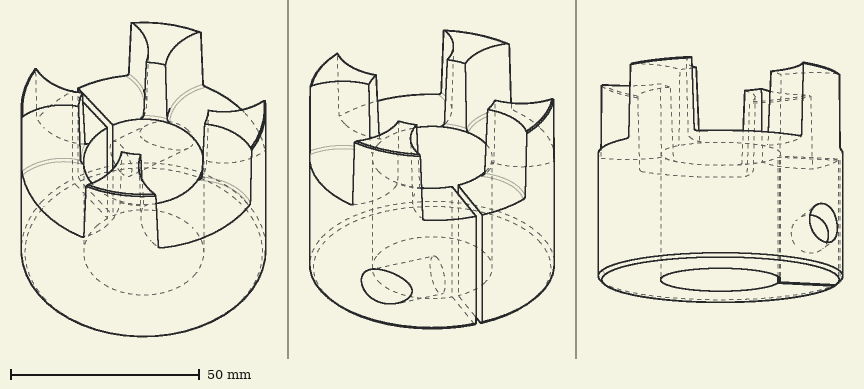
import cadquery as cq

outer_radius = 32.4
bore_radius = 15.9
hub_height = 34.0
total_height = 54.1
bottom_chamfer = 1.0

jaw_count = 4
jaw_height = total_height - hub_height
gap_radius = 15.0
gap_center_radius = 25.6
draft_angle = 1.5
jaw_inner_radius = 16.65
root_fillet = 0.65
jaw_top_chamfer = 0.4

slit_width = 1.75
screw_hole_diameter = 10.25
screw_x = -22.35
screw_z = 12.0
screw_floor_y = 7.8


def drafted_cutter(center_x, radius):
    """Cone that widens upward from the hub face, its floor edge rounded."""
    return (
        cq.Workplane("XY", origin=(center_x, 0, hub_height))
        .circle(radius)
        .extrude(jaw_height, taper=-draft_angle)
        .faces("<Z").edges().fillet(root_fillet)
    )


body = (
    cq.Workplane("XY")
    .circle(outer_radius)
    .extrude(total_height)
    .faces("<Z").chamfer(bottom_chamfer)
    .faces(">Z").chamfer(jaw_top_chamfer)
)
body = body.cut(cq.Workplane("XY").circle(bore_radius).extrude(total_height))

jaw_gap = drafted_cutter(gap_center_radius, gap_radius)
for index in range(jaw_count):
    body = body.cut(jaw_gap.rotate((0, 0, 0), (0, 0, 1), index * 360 / jaw_count))
body = body.cut(drafted_cutter(0, jaw_inner_radius))

slit = cq.Workplane("XY").box(
    outer_radius, slit_width, total_height, centered=(False, True, False)
).translate((-outer_radius, 0, 0))
body = body.cut(slit)

screw_hole = (
    cq.Workplane("XZ", origin=(screw_x, screw_floor_y, screw_z))
    .circle(screw_hole_diameter / 2)
    .extrude(-outer_radius)
)
result = body.cut(screw_hole)